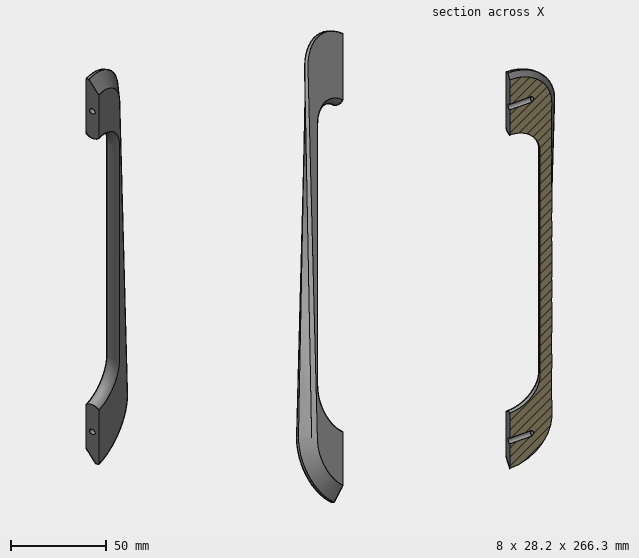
import cadquery as cq
import math

length = 266.3
width = 8.0
depth = 28.2
crest_inset = 1.9
crest_drop = 0.5
bevel_height = 8.0
opening_radius = 20.0
opening_center_z = 74.8
grip_bulge = 1.9
hole_diameter = 3.5
hole_depth = 13.3
hole_point_angle = 118.0
hole_z = 111.8

half_width = width / 2
crest_x = half_width - crest_inset
arc_center_z = length / 2 - depth
bevel_run = width - crest_inset
bevel_low = depth - bevel_height
bevel_at_far_crest = bevel_low + bevel_height * crest_inset / bevel_run

top_section = [
    (-half_width, 0),
    (-half_width, depth - crest_drop),
    (-crest_x, depth),
    (crest_x, bevel_at_far_crest),
    (half_width, bevel_low),
    (half_width, 0),
]
bottom_section = [(-x, y) for x, y in reversed(top_section)]


def revolve_about_x(profile, z):
    """Turn an XY profile fully about the line Y = 0 at height z."""
    return profile.revolve(360, (0, 0, 0), (1, 0, 0)).translate((0, 0, z))


def rounded_end(section, z):
    """Quarter-round end of the handle, kept on the outer side of height z."""
    disc = revolve_about_x(cq.Workplane("XY").polyline(section).close(), z)
    side = 1 if z > 0 else -1
    keep = cq.Workplane("XY").box(width, depth, depth, centered=(True, False, True))
    return disc.intersect(keep.translate((0, 0, z + side * depth / 2)))


def twisted_middle():
    """Straight length whose bevel passes gradually from one side to the other."""
    return (
        cq.Workplane("XY")
        .workplane(offset=-arc_center_z)
        .polyline(bottom_section)
        .close()
        .workplane(offset=2 * arc_center_z)
        .polyline(top_section)
        .close()
        .loft(ruled=True)
    )


def opening_profile():
    """Section of the finger opening; its far side is hollow to round the grip."""
    return (
        cq.Workplane("XY")
        .moveTo(-half_width, 0)
        .lineTo(-half_width, opening_radius)
        .threePointArc((0, opening_radius - grip_bulge), (half_width, opening_radius))
        .lineTo(half_width, 0)
        .close()
    )


def finger_opening():
    straight = opening_profile().extrude(2 * opening_center_z)
    opening = straight.translate((0, 0, -opening_center_z))
    for z in (-opening_center_z, opening_center_z):
        opening = opening.union(revolve_about_x(opening_profile(), z))
    return opening


def mounting_hole(z):
    """Blind drilled hole, square to the mounting face, with a conical end."""
    radius = hole_diameter / 2
    point_depth = radius / math.tan(math.radians(hole_point_angle / 2))
    hole = (
        cq.Workplane("XY")
        .polyline([(0, 0), (radius, 0), (radius, hole_depth), (0, hole_depth + point_depth)])
        .close()
        .revolve(360, (0, 0, 0), (0, 1, 0))
    )
    return hole.translate((0, 0, z))


result = twisted_middle()
result = result.union(rounded_end(top_section, arc_center_z))
result = result.union(rounded_end(bottom_section, -arc_center_z))
result = result.cut(finger_opening())
for z in (-hole_z, hole_z):
    result = result.cut(mounting_hole(z))